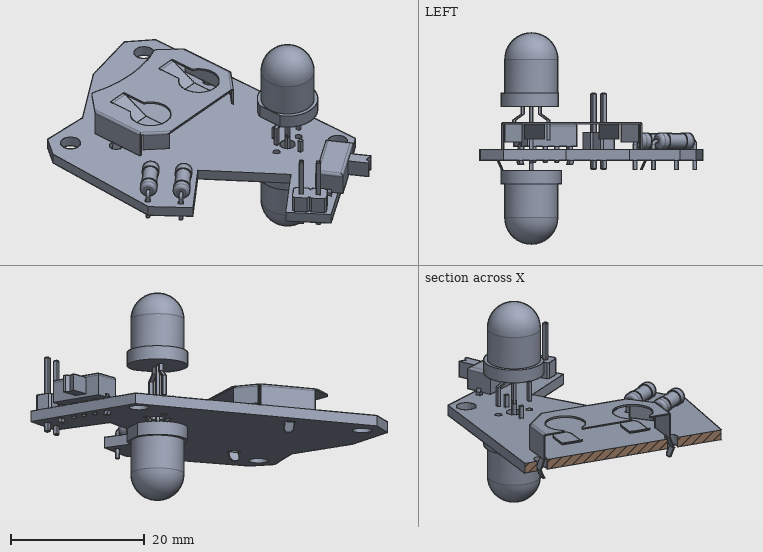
import cadquery as cq
import math


BOARD_THICKNESS = 1.6
BOARD_OUTLINE = [
    (-26.1, 13.15),
    (-22.9, 16.6),
    (16.3, 16.7),
    (26.1, -0.5),
    (20.55, -4.5),
    (14.9, 3.4),
    (3.55, -4.8),
    (9.2, -12.6),
    (3.9, -16.7),
    (-15.6, -15.7),
    (-18.75, -13.3),
    (-18.3, -5.75),
    (-24.25, 3.8),
]
MOUNTING_HOLES = [(-22.1, 12.95), (14.7, 14.4), (-15.5, -11.8)]
MOUNTING_HOLE_DIAMETER = 3.0

SHEET = 0.25
CLIP_CENTRE_Y = 2.9
CLIP_TOP = 5.7
CLIP_HALF_WIDTH = 10.55
CLIP_RIGHT = -2.3
CLIP_CORNER_CUT = 3.15
CLIP_LEFT_CORNER = (-17.7, 7.25)
CLIP_ARC_MIDDLE_X = -16.3
CLIP_NOSE_RADIUS = 0.5
SIDE_WALL_LEFT = -14.25
SIDE_WALL_RIGHT = CLIP_RIGHT - CLIP_CORNER_CUT
CORNER_WALL_BOTTOM = 2.7
CORNER_WALL_GAP = 0.45
CORNER_WALL_ANGLE = 45
BEND_RADIUS = 0.35
EDGE_MARGIN = 0.05

TAB_X = -9.85
TAB_WIDTH = 1.5
TAB_BULGE = 0.65
TAB_BOTTOM = -1.4
TAB_CHAMFER = 0.35
TAB_ROOT = 2.15
TAB_HOLE_DIAMETER = 2.0
TAB_HOLE_OFFSET = 10.8

FINGER_OFFSET = 5.6
FINGER_WIDTH = 3.0
FINGER_GAP = 0.05
FINGER_ROOT_X = -14.1
FINGER_BEND_X = -13.8
FINGER_BEND_DROP = 0.15
FINGER_NOSE_RADIUS = 1.45
FINGER_KNEE_X = -9.65
FINGER_TIP_X = -5.25
FINGER_UNDERSIDE = 3.2
FINGER_HOLE_X = -7.5
FINGER_HOLE_DIAMETER = 6.05

LED_X = 9.5
LED_Y = 9.0
LED_DIAMETER = 8.0
LED_HEIGHT = 11.05
FLANGE_DIAMETER = 9.1
FLANGE_HEIGHT = 2.05
FLANGE_FLAT = 4.05
UPPER_LED_BASE = 8.05
LOWER_LED_BASE = -1.5
LEAD_SPREAD = 2.55
LEAD_PITCH = LEAD_SPREAD / 2
LEAD_WIDTH = 0.45
LEAD_DEPTH = 0.6
LEAD_LENGTH = 5.0
LEAD_KINK_START = 1.1
LEAD_KINK_END = 2.05
LED_LEAD_HOLE_DIAMETER = 1.0
LED_CENTRE_HOLE_DIAMETER = 2.25

SWITCH_CENTRE = (20.45, 6.9)
SWITCH_ANGLE = -60
SWITCH_LENGTH = 8.55
SWITCH_WIDTH = 4.2
SWITCH_BOTTOM = 2.1
SWITCH_TOP = 5.55
SWITCH_FILLET = 0.4
LEVER_OUTLINE = [(-1.95, 0), (-1.95, 5.2), (-0.9, 4.75), (-0.45, 5.2), (0, 5.2), (0, 0)]
LEVER_BOTTOM = 2.55
LEVER_TOP = 5.05
SWITCH_PIN_PITCH = 2.0
SWITCH_PIN_WIDTH = 0.75
SWITCH_PIN_SHEET = 0.2
SWITCH_PIN_CHAMFER = 0.15
SWITCH_PIN_BOTTOM = -0.3
LUG_INNER = 3.9
LUG_OUTER = 4.55
LUG_BULGE = 0.2
LUG_WIDTH = 0.75
LUG_BOTTOM = -0.65
LUG_ROOT = 2.6

HEADER_CENTRE = (22.45, -1.1)
HEADER_ANGLE = 36
HEADER_PITCH = 2.55
HEADER_CHAMFER = 0.3
HEADER_PIN_SIZE = 0.65
HEADER_PIN_CHAMFER = 0.15
HEADER_PIN_BOTTOM = -1.4
HEADER_PIN_TOP = 10.1

RESISTOR_CENTRES = [(0.6, -12.4), (4.7, -9.65)]
RESISTOR_ANGLE = -53.6
RESISTOR_LEAD_SPAN = 7.65
RESISTOR_LENGTH = 6.25
RESISTOR_WAIST_LENGTH = 3.15
RESISTOR_WAIST_DIAMETER = 2.25
RESISTOR_CAP_DIAMETER = 2.5
RESISTOR_CAP_FILLET = 0.6
RESISTOR_LEAD_DIAMETER = 0.6
RESISTOR_LEAD_BEND = 0.5
RESISTOR_LEAD_BOTTOM = -1.4
RESISTOR_HOLE_DIAMETER = 0.85


def box_between(x, y, z):
    """Box spanning the given (low, high) range on each axis."""
    return (
        cq.Workplane("XY")
        .box(x[1] - x[0], y[1] - y[0], z[1] - z[0], centered=False)
        .translate((x[0], y[0], z[0]))
    )


def cylinder_between(diameter, x, y, bottom, top):
    """Vertical cylinder at (x, y)."""
    return cq.Workplane("XY", origin=(x, y, bottom)).circle(diameter / 2).extrude(top - bottom)


def place(body, centre, angle):
    """Turn a body about Z and move its local origin to `centre`."""
    return body.rotate((0, 0, 0), (0, 0, 1), angle).translate((*centre, 0))


def clip_blank(inset, bottom):
    """Clip outline moved inwards by `inset` on its bent edges, from `bottom` up to the clip top."""
    half_width = CLIP_HALF_WIDTH - inset
    right = CLIP_RIGHT - inset
    cut = CLIP_CORNER_CUT - inset * (2 - math.sqrt(2))
    nose_x, nose_y = CLIP_LEFT_CORNER
    return (
        cq.Workplane("XY", origin=(0, 0, bottom))
        .moveTo(nose_x, -nose_y)
        .lineTo(SIDE_WALL_LEFT, -half_width)
        .lineTo(right - cut, -half_width)
        .lineTo(right, cut - half_width)
        .lineTo(right, half_width - cut)
        .lineTo(right - cut, half_width)
        .lineTo(SIDE_WALL_LEFT, half_width)
        .lineTo(nose_x, nose_y)
        .threePointArc((CLIP_ARC_MIDDLE_X, 0), (nose_x, -nose_y))
        .close()
        .extrude(CLIP_TOP - bottom)
    )


def clip_shell():
    """Top plate with two side walls down to the board and two shorter walls across the corners."""
    shell = clip_blank(0, BOARD_THICKNESS)
    nose_x, nose_y = CLIP_LEFT_CORNER
    nose_edges = cq.selectors.BoxSelector(
        (nose_x - EDGE_MARGIN, -nose_y - EDGE_MARGIN, 0),
        (nose_x + EDGE_MARGIN, nose_y + EDGE_MARGIN, CLIP_TOP),
    )
    shell = shell.edges("|Z").edges(nose_edges).fillet(CLIP_NOSE_RADIUS)
    bend_edges = cq.selectors.BoxSelector(
        (SIDE_WALL_LEFT, -CLIP_HALF_WIDTH - EDGE_MARGIN, CLIP_TOP - EDGE_MARGIN),
        (CLIP_RIGHT - EDGE_MARGIN, CLIP_HALF_WIDTH + EDGE_MARGIN, CLIP_TOP + EDGE_MARGIN),
    )
    shell = shell.edges(bend_edges).edges("#Z").edges("not |Y").fillet(BEND_RADIUS)
    far = 2 * CLIP_HALF_WIDTH
    under_plate = CLIP_TOP - SHEET
    inside = clip_blank(SHEET, 0).intersect(box_between((-far, far), (-far, far), (0, under_plate)))
    left_opening = box_between((-far, SIDE_WALL_LEFT), (-far, far), (0, under_plate))
    corner_opening = box_between((SIDE_WALL_RIGHT, far), (-far, far), (0, CORNER_WALL_BOTTOM))
    open_half = CLIP_HALF_WIDTH - CLIP_CORNER_CUT
    right_opening = box_between((SIDE_WALL_RIGHT, far), (-open_half, open_half), (0, under_plate))
    for opening in (inside, left_opening, corner_opening, right_opening):
        shell = shell.cut(opening)
    gap = corner_gap()
    return shell.cut(gap).cut(gap.mirror("XZ"))


def corner_gap():
    """Gap between the -Y side wall and the corner wall next to it, square to the corner wall."""
    under_plate = CLIP_TOP - SHEET
    reach = 2 * SHEET
    block = box_between((-reach, CORNER_WALL_GAP), (-reach, reach), (CORNER_WALL_BOTTOM, under_plate))
    block = place(block, (SIDE_WALL_RIGHT, -CLIP_HALF_WIDTH), CORNER_WALL_ANGLE)
    beyond_side_wall = box_between(
        (SIDE_WALL_RIGHT, CLIP_RIGHT), (-2 * CLIP_HALF_WIDTH, 0), (CORNER_WALL_BOTTOM, under_plate)
    )
    return block.intersect(beyond_side_wall)


def clip_tab():
    """Snap tab on the +Y wall: leans outwards through the board, then back in below it."""
    inner = CLIP_HALF_WIDTH - SHEET
    outer = CLIP_HALF_WIDTH
    profile = [
        (inner, TAB_ROOT),
        (inner, BOARD_THICKNESS),
        (inner + TAB_BULGE, 0),
        (inner, TAB_BOTTOM),
        (outer, TAB_BOTTOM),
        (outer + TAB_BULGE, 0),
        (outer, BOARD_THICKNESS),
        (outer, TAB_ROOT),
    ]
    start = cq.Workplane("YZ", origin=(TAB_X - TAB_WIDTH / 2, 0, 0))
    tab = start.polyline(profile).close().extrude(TAB_WIDTH)
    return tab.faces("<Z").edges("|Y").chamfer(TAB_CHAMFER)


def contact_finger():
    """Spring finger bent down from the plate, ending in a flat round-nosed contact."""
    top = [
        (FINGER_ROOT_X - SHEET, CLIP_TOP),
        (FINGER_ROOT_X, CLIP_TOP),
        (FINGER_BEND_X, CLIP_TOP - FINGER_BEND_DROP),
        (FINGER_KNEE_X, FINGER_UNDERSIDE + SHEET),
        (FINGER_TIP_X, FINGER_UNDERSIDE + SHEET),
    ]
    underside = [(x, z - SHEET) for x, z in reversed(top)]
    start = cq.Workplane("XZ", origin=(0, FINGER_WIDTH / 2, 0))
    strip = start.polyline(top + underside).close().extrude(FINGER_WIDTH)
    return strip.edges("|Z and >X").fillet(FINGER_NOSE_RADIUS)


def make_battery_clip():
    clip = clip_shell()
    tab = clip_tab()
    clip = clip.union(tab).union(tab.mirror("XZ"))
    half_slot = FINGER_WIDTH / 2 + FINGER_GAP
    for side in (-1, 1):
        y = side * FINGER_OFFSET
        slot = box_between(
            (FINGER_ROOT_X, FINGER_HOLE_X), (y - half_slot, y + half_slot), (FINGER_UNDERSIDE, CLIP_TOP)
        )
        hole = cylinder_between(FINGER_HOLE_DIAMETER, FINGER_HOLE_X, y, FINGER_UNDERSIDE, CLIP_TOP)
        clip = clip.cut(slot).cut(hole).union(contact_finger().translate((0, y, 0)))
    return clip.translate((0, CLIP_CENTRE_Y, 0))


def led_lead(side):
    """Lead in the local XZ plane; side 0 is straight, -1 and 1 splay outwards."""
    start = side * LEAD_PITCH
    end = side * LEAD_SPREAD
    half = LEAD_WIDTH / 2
    path = [(start, 0), (start, -LEAD_KINK_START), (end, -LEAD_KINK_END), (end, -LEAD_LENGTH)]
    if side == 0:
        path = [path[0], path[-1]]
    outline = [(x - half, z) for x, z in path] + [(x + half, z) for x, z in reversed(path)]
    return cq.Workplane("XZ", origin=(0, LEAD_DEPTH / 2, 0)).polyline(outline).close().extrude(LEAD_DEPTH)


def make_led():
    """LED pointing up with its flange base at the origin and its flat towards +X."""
    radius = LED_DIAMETER / 2
    body = cylinder_between(LED_DIAMETER, 0, 0, 0, LED_HEIGHT - radius)
    dome = cq.Workplane("XY", origin=(0, 0, LED_HEIGHT - radius)).sphere(radius)
    flange = cylinder_between(FLANGE_DIAMETER, 0, 0, 0, FLANGE_HEIGHT)
    flat_side = box_between(
        (FLANGE_FLAT, FLANGE_DIAMETER), (-FLANGE_DIAMETER, FLANGE_DIAMETER), (0, FLANGE_HEIGHT)
    )
    led = flange.cut(flat_side).union(body).union(dome)
    for side in (-1, 0, 1):
        led = led.union(led_lead(side))
    return led


def make_upper_led():
    return make_led().rotate((0, 0, 0), (0, 0, 1), -90).translate((LED_X, LED_Y, UPPER_LED_BASE))


def make_lower_led():
    """Upside-down LED whose straight lead reaches up to the straight lead of the upper LED."""
    led = make_led().rotate((0, 0, 0), (1, 0, 0), 180).translate((LED_X, LED_Y, LOWER_LED_BASE))
    return led.cut(make_upper_led())


def switch_pin():
    """Flat contact pin with a tapered tip."""
    width = SWITCH_PIN_WIDTH / 2
    thickness = SWITCH_PIN_SHEET / 2
    pin = box_between((-width, width), (-thickness, thickness), (SWITCH_PIN_BOTTOM, SWITCH_BOTTOM))
    return pin.faces("<Z").edges("|Y").chamfer(SWITCH_PIN_CHAMFER)


def switch_lug():
    """Snap lug at the +X end: bulges outwards at the underside of the board. It reaches into the body."""
    profile = [
        (LUG_INNER, LUG_ROOT),
        (LUG_INNER, BOARD_THICKNESS),
        (LUG_INNER + LUG_BULGE, 0),
        (LUG_INNER, LUG_BOTTOM),
        (LUG_OUTER, LUG_BOTTOM),
        (LUG_OUTER + LUG_BULGE, 0),
        (LUG_OUTER, BOARD_THICKNESS),
        (LUG_OUTER, SWITCH_BOTTOM),
        (SWITCH_LENGTH / 2, LUG_ROOT),
    ]
    return cq.Workplane("XZ", origin=(0, LUG_WIDTH / 2, 0)).polyline(profile).close().extrude(LUG_WIDTH)


def make_switch():
    half_length = SWITCH_LENGTH / 2
    half_width = SWITCH_WIDTH / 2
    body = box_between((-half_length, half_length), (-half_width, half_width), (SWITCH_BOTTOM, SWITCH_TOP))
    switch = body.faces(">Z").edges().fillet(SWITCH_FILLET)
    lever_base = cq.Workplane("XY", origin=(0, 0, LEVER_BOTTOM))
    lever = lever_base.polyline(LEVER_OUTLINE).close().extrude(LEVER_TOP - LEVER_BOTTOM)
    switch = switch.union(lever)
    for i in (-1, 0, 1):
        switch = switch.union(switch_pin().translate((i * SWITCH_PIN_PITCH, 0, 0)))
    lug = switch_lug()
    switch = switch.union(lug).union(lug.mirror("YZ"))
    return place(switch, SWITCH_CENTRE, SWITCH_ANGLE)


def make_header():
    header = cq.Workplane("XY")
    half = HEADER_PITCH / 2
    pin_half = HEADER_PIN_SIZE / 2
    cell_top = BOARD_THICKNESS + HEADER_PITCH
    for side in (-1, 1):
        x = side * half
        cell = box_between((x - half, x + half), (-half, half), (BOARD_THICKNESS, cell_top))
        pin = box_between(
            (x - pin_half, x + pin_half), (-pin_half, pin_half), (HEADER_PIN_BOTTOM, HEADER_PIN_TOP)
        )
        pin = pin.faces("<Z or >Z").edges().chamfer(HEADER_PIN_CHAMFER)
        header = header.union(cell.edges("|Z").chamfer(HEADER_CHAMFER)).union(pin)
    return place(header, HEADER_CENTRE, HEADER_ANGLE)


def resistor_lead():
    """One wire from leg to leg, running through the body with a round bend at each end."""
    axis_z = BOARD_THICKNESS + RESISTOR_CAP_DIAMETER / 2
    half = RESISTOR_LEAD_SPAN / 2
    bend = RESISTOR_LEAD_BEND
    slack = bend * (1 - math.sqrt(0.5))
    path = (
        cq.Workplane("XZ")
        .moveTo(-half, RESISTOR_LEAD_BOTTOM)
        .lineTo(-half, axis_z - bend)
        .threePointArc((slack - half, axis_z - slack), (bend - half, axis_z))
        .lineTo(half - bend, axis_z)
        .threePointArc((half - slack, axis_z - slack), (half, axis_z - bend))
        .lineTo(half, RESISTOR_LEAD_BOTTOM)
    )
    section = cq.Workplane("XY", origin=(-half, 0, RESISTOR_LEAD_BOTTOM)).circle(RESISTOR_LEAD_DIAMETER / 2)
    return section.sweep(path)


def make_resistor(centre):
    axis_z = BOARD_THICKNESS + RESISTOR_CAP_DIAMETER / 2
    cap_length = (RESISTOR_LENGTH - RESISTOR_WAIST_LENGTH) / 2
    waist = (
        cq.Workplane("YZ", origin=(-RESISTOR_LENGTH / 2 + cap_length / 2, 0, axis_z))
        .circle(RESISTOR_WAIST_DIAMETER / 2)
        .extrude(RESISTOR_LENGTH - cap_length)
    )
    cap = (
        cq.Workplane("YZ", origin=(RESISTOR_WAIST_LENGTH / 2, 0, axis_z))
        .circle(RESISTOR_CAP_DIAMETER / 2)
        .extrude(cap_length)
        .faces(">X")
        .edges()
        .fillet(RESISTOR_CAP_FILLET)
    )
    resistor = waist.union(cap).union(cap.mirror("YZ")).union(resistor_lead())
    return place(resistor, centre, RESISTOR_ANGLE)


def make_board(seated_parts):
    """Board with its round holes and snug openings for the pins and leads of the seated parts."""
    board = cq.Workplane("XY").polyline(BOARD_OUTLINE).close().extrude(BOARD_THICKNESS)
    tab_holes = [(TAB_X, CLIP_CENTRE_Y + side * TAB_HOLE_OFFSET) for side in (-1, 1)]
    resistor_holes = []
    reach_x = RESISTOR_LEAD_SPAN / 2 * math.cos(math.radians(RESISTOR_ANGLE))
    reach_y = RESISTOR_LEAD_SPAN / 2 * math.sin(math.radians(RESISTOR_ANGLE))
    for x, y in RESISTOR_CENTRES:
        resistor_holes += [(x - reach_x, y - reach_y), (x + reach_x, y + reach_y)]
    lead_holes = [(LED_X, LED_Y + side * LEAD_SPREAD) for side in (-1, 1)]
    round_holes = [
        (MOUNTING_HOLES, MOUNTING_HOLE_DIAMETER),
        (tab_holes, TAB_HOLE_DIAMETER),
        (resistor_holes, RESISTOR_HOLE_DIAMETER),
        (lead_holes, LED_LEAD_HOLE_DIAMETER),
        ([(LED_X, LED_Y)], LED_CENTRE_HOLE_DIAMETER),
    ]
    for centres, diameter in round_holes:
        for x, y in centres:
            board = board.cut(cylinder_between(diameter, x, y, 0, BOARD_THICKNESS))
    for part in seated_parts:
        board = board.cut(part)
    return board


battery_clip = make_battery_clip()
upper_led = make_upper_led()
lower_led = make_lower_led()
switch = make_switch()
header = make_header()
resistors = [make_resistor(centre) for centre in RESISTOR_CENTRES]
board = make_board([lower_led, switch, header])

result = cq.Compound.makeCompound(
    [
        board.val(),
        battery_clip.val(),
        upper_led.val(),
        lower_led.val(),
        switch.val(),
        header.val(),
        *[resistor.val() for resistor in resistors],
    ]
)